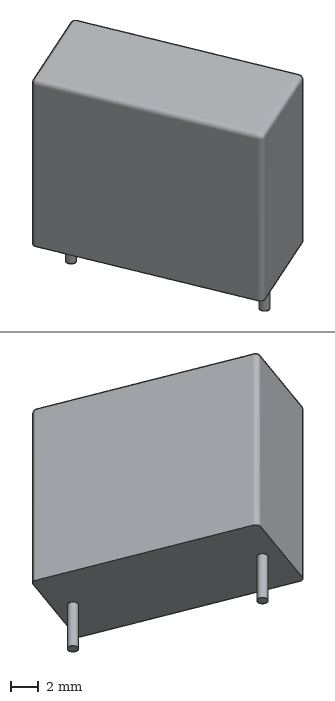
import cadquery as cq

total_height = 18.8
case_length = 18.0
case_width = 8.0
case_height = 15.0
edge_radius = 0.4

lead_diameter = 0.8
lead_pitch = 15.0
lead_length = total_height - case_height


def make_case():
    """Box standing on Z = 0, rounded on every edge except those of the flat bottom."""
    return (
        cq.Workplane("XY")
        .box(case_length, case_width, case_height, centered=(True, True, False))
        .edges("|Z or >Z")
        .fillet(edge_radius)
    )


def make_lead(x):
    """Straight round lead hanging from the bottom of the case."""
    return (
        cq.Workplane("XY")
        .center(x, 0)
        .circle(lead_diameter / 2)
        .extrude(-lead_length)
    )


case = make_case()
leads = [make_lead(side * lead_pitch / 2) for side in (-1, 1)]

result = cq.Compound.makeCompound([case.val(), *[lead.val() for lead in leads]])